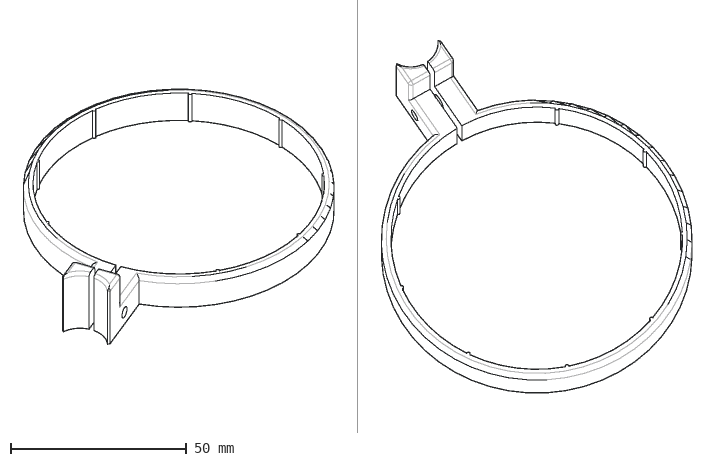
import cadquery as cq
import math

ring_diameter = 88.5
ring_radius = ring_diameter / 2
bore_radius = 41.5
ring_height = 10.0
ring_fillet = 1.4

rib_positions = 9
rib_radius = 0.5
rib_pitch = 360 / rib_positions

overall_length = 108.3
lug_width = 15.0
split_width = 1.5
split_angle = 270
post_depth = 8.0
post_height = 20.0
post_fillet = 1.0
lug_end = ring_radius - overall_length
post_back = lug_end + post_depth

saddle_radius = 7.8
saddle_depth = 4.1
saddle_center = lug_end + saddle_depth - saddle_radius
tip_bevel = 0.5

screw_y = lug_end + 10.4
screw_z = 4.3
clearance_diameter = 4.5
thread_diameter = 3.4


def block(width, y_start, y_end, height):
    """Box standing on the base plane, centred on X."""
    depth = y_end - y_start
    box = cq.Workplane("XY").box(width, depth, height, centered=(True, False, False))
    return box.translate((0, y_start, 0))


def cylinder(radius, height, y=0):
    return cq.Workplane("XY").center(0, y).circle(radius).extrude(height)


def make_band():
    """Ring disc and lug, rounded along the outer top edge, then bored."""
    disc = cylinder(ring_radius, ring_height)
    lug = block(lug_width, post_back - post_fillet, 0, ring_height)
    body = disc.union(lug)
    body = body.faces(">Z").edges("not <Y").fillet(ring_fillet)
    return body.cut(cylinder(bore_radius, ring_height))


def make_saddle_cutter():
    """Cylinder that flares out at the top, leaving a rounded rim on the post."""
    flare_start = post_height - post_fillet
    flare_radius = saddle_radius + post_fillet
    arc_offset = post_fillet * math.sqrt(0.5)
    arc_middle = (flare_radius - arc_offset, flare_start + arc_offset)
    return (
        cq.Workplane("XZ")
        .lineTo(saddle_radius, 0)
        .lineTo(saddle_radius, flare_start)
        .threePointArc(arc_middle, (flare_radius, post_height))
        .lineTo(0, post_height)
        .close()
        .revolve(360, (0, 0), (0, 1))
        .translate((0, saddle_center, 0))
    )


def make_post():
    """Upright post with rounded edges, blunted tips and a saddle groove."""
    post = block(lug_width, lug_end, post_back, post_height)
    post = post.edges("|Z and <Y").chamfer(tip_bevel)
    post = post.edges("(|Z and >Y) or (>Z and (not <Y))").fillet(post_fillet)
    return post.cut(make_saddle_cutter())


def make_ribs():
    ribs = cq.Workplane("XY")
    for index in range(1, rib_positions):
        angle = math.radians(split_angle + rib_pitch * index)
        ribs = ribs.union(
            cq.Workplane("XY")
            .center(bore_radius * math.cos(angle), bore_radius * math.sin(angle))
            .circle(rib_radius)
            .extrude(ring_height)
        )
    return ribs


def screw_hole(diameter, direction):
    """Hole from the split out through one jaw."""
    return (
        cq.Workplane("YZ")
        .center(screw_y, screw_z)
        .circle(diameter / 2)
        .extrude(direction * lug_width)
    )


result = make_band().union(make_post()).union(make_ribs())
result = result.cut(block(split_width, lug_end, 0, post_height))
result = result.cut(screw_hole(clearance_diameter, -1))
result = result.cut(screw_hole(thread_diameter, 1))